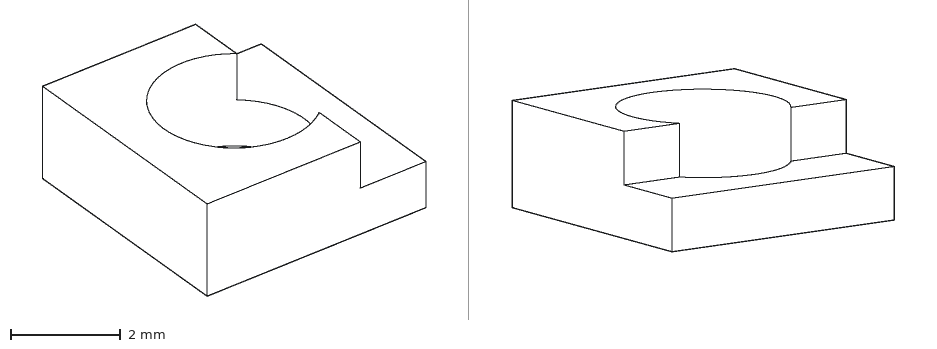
import cadquery as cq

side = 5.0
height = 2.0
step_depth = 1.5
step_height = height / 2
hole_diameter = 3.2

block = cq.Workplane("XY").box(side, side, height, centered=(True, True, False))

ledge_cut = (
    cq.Workplane("XY")
    .box(side, step_depth, height - step_height, centered=(True, False, False))
    .translate((0, side / 2 - step_depth, step_height))
)

hole = cq.Workplane("XY").circle(hole_diameter / 2).extrude(height)

result = block.cut(ledge_cut).cut(hole)